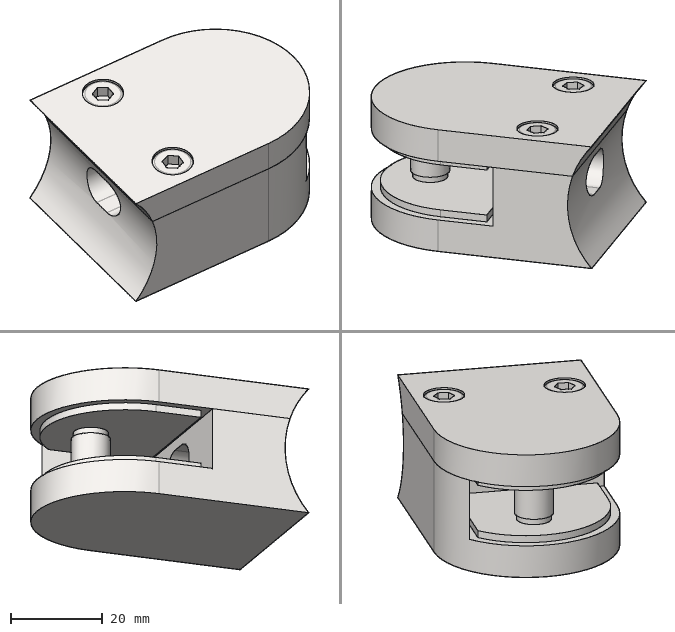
import cadquery as cq
import math


length = 55.5
width = 41.0
height = 28.5
tip_radius = width / 2
tip_center_y = length - tip_radius

jaw_thickness = 7.4
pocket_bottom = jaw_thickness
pocket_top = height - jaw_thickness
pocket_height = pocket_top - pocket_bottom
pocket_end_y = 22.5
side_wall = 4.9
side_wall_x = width / 2 - side_wall

post_radius = 21.2
post_center_y = -math.sqrt(post_radius**2 - (height / 2) ** 2)

slot_width = 13.0
slot_height = 9.0

gasket_inset = 2.0
gasket_thickness = 1.6

pin_y = 42.95
pin_diameter = 8.55
pin_end_diameter = 7.65
pin_end_length = 1.4

screw_x = 13.5
screw_y = 14.5
head_recess = 0.2
head_top = height - head_recess
head_diameter = 9.0
head_height = 5.0
head_seat = head_top - head_height
head_round = 0.55
shank_diameter = 5.0
shank_length = 10.0
hex_across_flats = 4.0
hex_across_corners = hex_across_flats / math.cos(math.pi / 6)
hex_depth = 2.5
left_hex_angle = -3.0
right_hex_angle = -8.0
screw_layout = [(-screw_x, left_hex_angle), (screw_x, right_hex_angle)]


def rounded_plate(half_width, start_y, bottom, thickness):
    """Plate with a square end at start_y and a semicircular end about the tip center."""
    return (
        cq.Workplane("XY", origin=(0, 0, bottom))
        .moveTo(-half_width, start_y)
        .lineTo(half_width, start_y)
        .lineTo(half_width, tip_center_y)
        .threePointArc((0, tip_center_y + half_width), (-half_width, tip_center_y))
        .close()
        .extrude(thickness)
    )


def post_cylinder():
    """Post along X that shapes the saddle."""
    return (
        cq.Workplane("YZ", origin=(-width / 2, 0, 0))
        .center(post_center_y, height / 2)
        .circle(post_radius)
        .extrude(width)
    )


def screw_blank(x, top):
    """Head and shank without the socket; the head reaches up to the given top."""
    shank = (
        cq.Workplane("XY", origin=(x, screw_y, head_seat))
        .circle(shank_diameter / 2)
        .extrude(-shank_length)
    )
    head = (
        cq.Workplane("XY", origin=(x, screw_y, head_seat))
        .circle(head_diameter / 2)
        .extrude(top - head_seat)
    )
    return head.union(shank)


def make_screw(x, hex_angle):
    """Cap screw with a rounded head edge and a hexagon socket."""
    socket = (
        cq.Workplane("XY", origin=(x, screw_y, head_top))
        .transformed(rotate=(0, 0, hex_angle))
        .polygon(6, hex_across_corners)
        .extrude(-hex_depth)
    )
    return screw_blank(x, head_top).faces(">Z").edges().fillet(head_round).cut(socket)


def cut_screw_holes(body):
    """Counterbored holes that match the screws and open at the cover surface."""
    for x, _ in screw_layout:
        body = body.cut(screw_blank(x, height))
    return body


def make_base():
    """Lower jaw, rear block and side wall in one piece."""
    body = rounded_plate(width / 2, 0, 0, pocket_top).cut(post_cylinder())
    pocket = (
        cq.Workplane("XY", origin=(-width / 2, pocket_end_y, pocket_bottom))
        .box(width - side_wall, length - pocket_end_y, pocket_height, centered=False)
    )
    slot = (
        cq.Workplane("XZ", origin=(0, 0, height / 2))
        .slot2D(slot_width, slot_height)
        .extrude(-pocket_end_y)
    )
    return cut_screw_holes(body.cut(pocket).cut(slot))


def make_cover():
    """Upper jaw, screwed onto the base."""
    body = rounded_plate(width / 2, 0, pocket_top, jaw_thickness).cut(post_cylinder())
    return cut_screw_holes(body)


def make_gasket(bottom):
    """Pad that follows the jaw outline and stays clear of the rear and side walls."""
    pad = rounded_plate(
        tip_radius - gasket_inset, pocket_end_y + gasket_inset, bottom, gasket_thickness
    )
    side_clearance = (
        cq.Workplane("XY", origin=(side_wall_x - gasket_inset, 0, bottom))
        .box(side_wall + gasket_inset, length, gasket_thickness, centered=False)
    )
    return pad.cut(side_clearance)


def make_pin():
    """Stepped pin standing between the two gaskets."""
    bottom = pocket_bottom + gasket_thickness
    full_length = pocket_height - 2 * gasket_thickness
    core = (
        cq.Workplane("XY", origin=(0, pin_y, bottom))
        .circle(pin_end_diameter / 2)
        .extrude(full_length)
    )
    sleeve = (
        cq.Workplane("XY", origin=(0, pin_y, bottom + pin_end_length))
        .circle(pin_diameter / 2)
        .extrude(full_length - 2 * pin_end_length)
    )
    return core.union(sleeve)


base = make_base()
cover = make_cover()
gaskets = [make_gasket(bottom) for bottom in (pocket_bottom, pocket_top - gasket_thickness)]
pin = make_pin()
screws = [make_screw(x, hex_angle) for x, hex_angle in screw_layout]

bodies = [base, cover, *gaskets, pin, *screws]
result = cq.Compound.makeCompound([body.solids().val() for body in bodies])